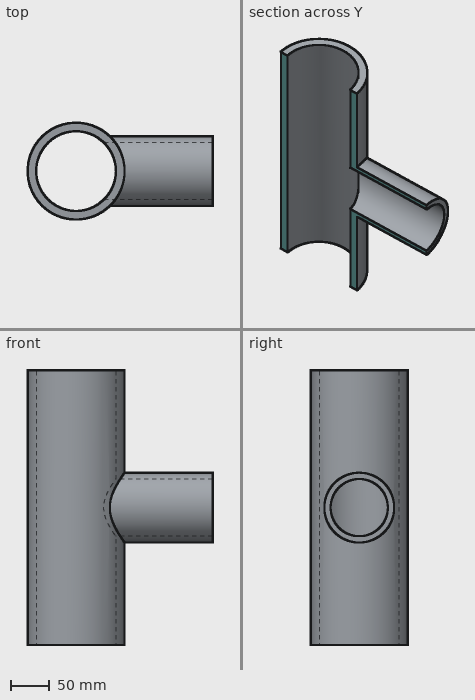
import cadquery as cq

pipe_length = 354.0
pipe_diameter = 125.0
pipe_wall = 11.5

overall_width = 238.5
branch_diameter = 90.0
branch_wall = 8.0

pipe_radius = pipe_diameter / 2
branch_radius = branch_diameter / 2
branch_reach = overall_width - pipe_radius


def upright_cylinder(radius):
    """Full-length cylinder on the main pipe axis."""
    return cq.Workplane("XY").circle(radius).extrude(pipe_length / 2, both=True)


def branch_cylinder(radius):
    """Cylinder from the main pipe axis to the branch end face."""
    return cq.Workplane("YZ").circle(radius).extrude(branch_reach)


outside = upright_cylinder(pipe_radius).union(branch_cylinder(branch_radius))
main_bore = upright_cylinder(pipe_radius - pipe_wall)
branch_bore = branch_cylinder(branch_radius - branch_wall)

result = outside.cut(main_bore).cut(branch_bore)